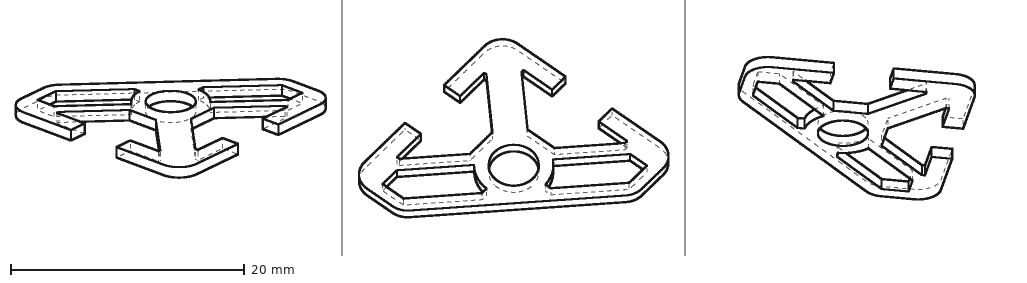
import cadquery as cq
import math

side = 20.0
thickness = 1.0
half = side / 2
corner_radius = 2.0
diagonal_distance = 4.0

hole_diameter = 4.3
ring_radius = 3.4

opening_half_width = 2.6
lip_thickness = 1.8
slot_floor = 3.65
floor_half_width = 1.5
slot_half_width = 5.8

top_wall = 1.25
end_wall = 2.68
sloping_wall = 1.32
rib_thickness = 1.2
pocket_inner_x = 0.2


def mirror_points(points):
    """Reflect points across the part's symmetry line y = -x."""
    return [(-y, -x) for x, y in points]


def extrude_outline(points):
    return cq.Workplane("XY").polyline(points).close().extrude(thickness)


def make_plate():
    offset = diagonal_distance * math.sqrt(2)
    outline = [
        (-half, -half),
        (half, -half),
        (half, half),
        (half - offset, half),
        (-half, offset - half),
    ]
    return extrude_outline(outline).edges("|Z").fillet(corner_radius)


def slot_points():
    """Outline of the slot that opens on the +X side."""
    lip_x = half - lip_thickness
    slope_end_x = slot_floor + slot_half_width - floor_half_width
    upper = [
        (slot_floor, floor_half_width),
        (slope_end_x, slot_half_width),
        (lip_x, slot_half_width),
        (lip_x, opening_half_width),
        (half, opening_half_width),
    ]
    lower = [(x, -y) for x, y in reversed(upper)]
    return upper + lower


def pocket_points():
    """Outline of the upper pocket, before the ring is left standing in it."""
    top_y = half - top_wall
    right_x = half - end_wall
    slope_offset = (diagonal_distance - sloping_wall) * math.sqrt(2)
    rib_offset = floor_half_width - slot_floor + rib_thickness * math.sqrt(2)
    return [
        (pocket_inner_x, pocket_inner_x + slope_offset),
        (top_y - slope_offset, top_y),
        (right_x, top_y),
        (right_x, right_x + rib_offset),
        (pocket_inner_x, pocket_inner_x + rib_offset),
    ]


result = make_plate()
ring = cq.Workplane("XY").circle(ring_radius).extrude(thickness)

for outline in (slot_points(), mirror_points(slot_points())):
    result = result.cut(extrude_outline(outline))

for outline in (pocket_points(), mirror_points(pocket_points())):
    result = result.cut(extrude_outline(outline).cut(ring))

result = result.cut(cq.Workplane("XY").circle(hole_diameter / 2).extrude(thickness))